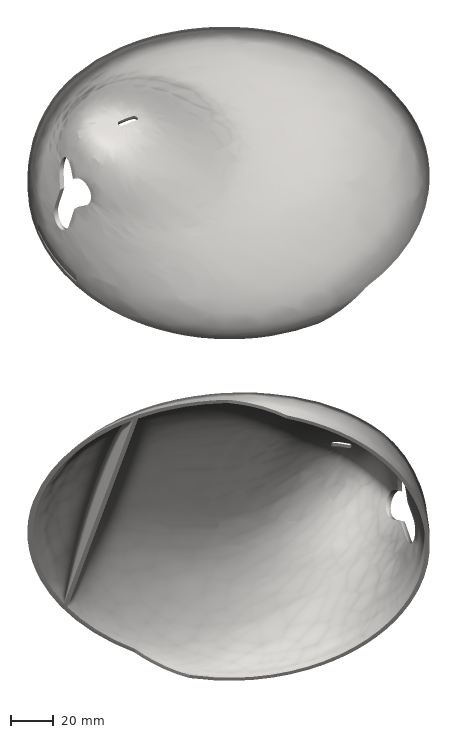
import cadquery as cq
import math

HEIGHT, HALF_WIDTH, FRONT, WIDEST, BACK = range(5)
SKIN_LEVELS = [
    (0.0, 94.3, -94.0, -1.0, 100.0),
    (7.0, 94.1, -93.5, -3.8, 94.1),
    (15.2, 90.2, -92.6, -7.5, 88.5),
    (24.6, 81.3, -91.0, -13.3, 78.0),
    (34.0, 69.0, -88.6, -21.8, 60.2),
    (41.7, 58.3, -86.4, -30.3, 33.1),
    (47.4, 50.2, -84.9, -36.0, 9.8),
    (55.0, 40.7, -83.0, -43.5, -10.6),
    (62.5, 31.8, -80.5, -51.1, -23.0),
    (70.0, 22.0, -77.0, -57.8, -35.0),
    (74.8, 13.5, -73.0, -59.3, -44.1),
    (76.9, 6.5, -66.7, -58.3, -50.5),
    (77.3, 1.1, -58.3, -56.6, -54.5),
]
POINTS_PER_SECTION = 16
WALL = 2.0
CROWN_LEVELS = 3

RIM_LIFT = 7.0
RAMP_FRONT_Y = -4.5
RAMP_BACK_Y = 22.7
CLEARANCE = 113.6

KEYHOLE_RADIUS = 6.8
KEYHOLE_JOINT_Z = 42.6
KEYHOLE_STEM_Z = 29.7
KEYHOLE_ARM_REACH = 7.2
KEYHOLE_END_Y = -60.6

CROWN_SLOT_LENGTH = 10.2
CROWN_SLOT_WIDTH = 3.0
CROWN_SLOT_Y = -54.2
CROWN_SLOT_FLOOR_Z = 66.3

PANEL_WIDTH = 36.7
PANEL_BOTTOM_Z = 2.7
PANEL_TOP_Z = 7.5
PANEL_FLOOR_Y = -93.4
PANEL_FLOOR_RADIUS = 98.5
PANEL_REACH = 5.7

RIB_FRONT_Y = 60.6


def skin_section(z, half_width, front_y, widest_y, back_y):
    """Closed curve made of a front and a back half ellipse sharing the widest line."""
    points = []
    for i in range(POINTS_PER_SECTION):
        angle = 2 * math.pi * i / POINTS_PER_SECTION
        x = half_width * math.sin(angle)
        along = math.cos(angle)
        reach = back_y - widest_y if along > 0 else widest_y - front_y
        points.append(cq.Vector(x, widest_y + reach * along, z))
    return cq.Wire.assembleEdges([cq.Edge.makeSpline(points, periodic=True)])


def loft_through(levels):
    return cq.Workplane(cq.Solid.makeLoft([skin_section(*level) for level in levels]))


def inset(index, column):
    """Horizontal wall width at a level, from the slope of the skin between its neighbours."""
    lower = SKIN_LEVELS[max(index - 1, 0)]
    upper = SKIN_LEVELS[index + 1]
    slope = (upper[column] - lower[column]) / (upper[HEIGHT] - lower[HEIGHT])
    return WALL * math.hypot(1, slope)


def cavity_levels():
    """Skin levels moved inward by the wall; the crown levels simply move down by it."""
    levels = []
    for i, level in enumerate(SKIN_LEVELS[:-CROWN_LEVELS]):
        levels.append((
            level[HEIGHT],
            level[HALF_WIDTH] - inset(i, HALF_WIDTH),
            level[FRONT] + inset(i, FRONT),
            level[WIDEST],
            level[BACK] - inset(i, BACK),
        ))
    for z, *plan in SKIN_LEVELS[1 - CROWN_LEVELS:]:
        levels.append((z - WALL, *plan))
    return levels


def below_rim():
    """Everything under the rim line, extruded along X."""
    return (
        cq.Workplane("YZ")
        .moveTo(RAMP_FRONT_Y, 0)
        .lineTo(RAMP_BACK_Y, RIM_LIFT)
        .lineTo(CLEARANCE, RIM_LIFT)
        .lineTo(CLEARANCE, -CLEARANCE)
        .lineTo(RAMP_FRONT_Y, -CLEARANCE)
        .close()
        .extrude(CLEARANCE, both=True)
    )


def keyhole_slot(reach_x, end_z):
    """Round-ended slot running from the keyhole joint to the given end point, along Y."""
    rise = end_z - KEYHOLE_JOINT_Z
    length = math.hypot(reach_x, rise)
    angle = math.degrees(math.atan2(rise, reach_x))
    return (
        cq.Workplane("XZ", origin=(0, KEYHOLE_END_Y, 0))
        .center(reach_x / 2, KEYHOLE_JOINT_Z + rise / 2)
        .slot2D(length + 2 * KEYHOLE_RADIUS, 2 * KEYHOLE_RADIUS, angle)
        .extrude(CLEARANCE)
    )


def keyhole():
    arm_top_z = KEYHOLE_JOINT_Z + KEYHOLE_ARM_REACH
    stem = keyhole_slot(0, KEYHOLE_STEM_Z)
    left_arm = keyhole_slot(-KEYHOLE_ARM_REACH, arm_top_z)
    right_arm = keyhole_slot(KEYHOLE_ARM_REACH, arm_top_z)
    return stem.union(left_arm).union(right_arm)


def crown_slot():
    return (
        cq.Workplane("XY", origin=(0, CROWN_SLOT_Y, CROWN_SLOT_FLOOR_Z))
        .slot2D(CROWN_SLOT_LENGTH, CROWN_SLOT_WIDTH, 90)
        .extrude(CLEARANCE)
    )


def panel_recess():
    """Block in front of an upright cylinder that forms the curved panel floor."""
    height = PANEL_TOP_Z - PANEL_BOTTOM_Z
    block = (
        cq.Workplane("XY", origin=(0, PANEL_FLOOR_Y, PANEL_BOTTOM_Z))
        .rect(PANEL_WIDTH, 2 * PANEL_REACH)
        .extrude(height)
    )
    floor = (
        cq.Workplane("XY", origin=(0, PANEL_FLOOR_Y + PANEL_FLOOR_RADIUS, PANEL_BOTTOM_Z))
        .circle(PANEL_FLOOR_RADIUS)
        .extrude(height)
    )
    return block.cut(floor)


def back_rib(cavity):
    """Upright plate across the cavity, reaching from the inner skin down to the rim."""
    plate = cq.Workplane("XY").box(
        2 * CLEARANCE, WALL, CLEARANCE, centered=(True, False, False)
    )
    return plate.translate((0, RIB_FRONT_Y, 0)).intersect(cavity)


dome = loft_through(SKIN_LEVELS)
cavity = loft_through(cavity_levels())
result = (
    dome.cut(cavity)
    .union(back_rib(cavity))
    .cut(below_rim())
    .cut(keyhole())
    .cut(crown_slot())
    .cut(panel_recess())
)